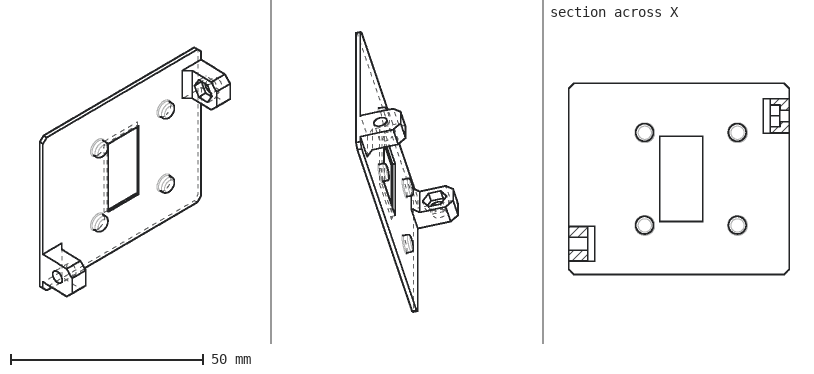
import cadquery as cq

plate_thickness = 1.2
plate_width = 57.2
plate_height = 49.6
plate_corner = 1.4

window_y = 0.6
window_width = 11.05
window_height = 22.0
window_chamfer = 0.5

lug_reach = 12.0
lug_height = 9.0
lug_thickness = 5.0
lug_corner = 2.0
lug_gusset = 1.85
lug_hole_diameter = 3.5
upper_lug_margin = 4.0
lower_lug_margin = 3.5
upper_lug_z = plate_height / 2 - upper_lug_margin - lug_height / 2
lower_lug_z = -plate_height / 2 + lower_lug_margin + lug_height / 2
upper_hole_x = 7.05
lower_hole_x = 6.6

nut_across_corners = 6.45
nut_depth = 2.5

peg_radius = 2.3
peg_height = 1.95
peg_base_fillet = 0.3
peg_top_fillet = 0.6
peg_spacing = 24.0
peg_centre_y = 3.1


def make_plate():
    plate = cq.Workplane("XY").box(
        plate_thickness, plate_width, plate_height, centered=(False, True, True)
    )
    return plate.edges("|X").chamfer(plate_corner)


def make_window():
    opening = (
        cq.Workplane("YZ")
        .center(window_y, 0)
        .rect(window_width, window_height)
        .extrude(plate_thickness)
    )
    rim = (
        cq.Workplane("YZ")
        .center(window_y, 0)
        .rect(window_width + 2 * window_chamfer, window_height + 2 * window_chamfer)
        .workplane(offset=window_chamfer)
        .rect(window_width, window_height)
        .loft(ruled=True)
    )
    return opening.union(rim)


def make_lug(side, centre_z, hole_x):
    """Lug at the +Y (side = 1) or -Y (side = -1) edge, with a gusset on its inner face."""
    outer_y = side * plate_width / 2
    inner_y = outer_y - side * lug_thickness
    gusset_y = inner_y - side * lug_gusset
    block = (
        cq.Workplane("XY", origin=(0, 0, centre_z - lug_height / 2))
        .moveTo(0, outer_y)
        .lineTo(lug_reach, outer_y)
        .lineTo(lug_reach, inner_y)
        .lineTo(plate_thickness + lug_gusset, inner_y)
        .lineTo(plate_thickness, gusset_y)
        .lineTo(0, gusset_y)
        .close()
        .extrude(lug_height)
        .edges("|Y and >X")
        .chamfer(lug_corner)
    )
    hole = (
        cq.Workplane("XZ", origin=(hole_x, outer_y, centre_z))
        .circle(lug_hole_diameter / 2)
        .extrude(side * lug_thickness)
    )
    return block.cut(hole)


def make_nut_pocket():
    inner_y = plate_width / 2 - lug_thickness
    return (
        cq.Workplane("XZ", origin=(upper_hole_x, inner_y, upper_lug_z))
        .polygon(6, nut_across_corners)
        .extrude(-nut_depth)
    )


def make_peg(y, z):
    """Peg profile revolved about its axis: flared foot, straight wall, rounded top."""
    foot_radius = peg_radius + peg_base_fillet
    top_radius = peg_radius - peg_top_fillet
    return (
        cq.Workplane("XY", origin=(plate_thickness, y, z))
        .lineTo(0, foot_radius)
        .radiusArc((peg_base_fillet, peg_radius), -peg_base_fillet)
        .lineTo(peg_height - peg_top_fillet, peg_radius)
        .radiusArc((peg_height, top_radius), peg_top_fillet)
        .lineTo(peg_height, 0)
        .close()
        .revolve(360, (0, 0, 0), (1, 0, 0))
    )


result = make_plate().cut(make_window())
result = result.union(make_lug(1, upper_lug_z, upper_hole_x))
result = result.union(make_lug(-1, lower_lug_z, lower_hole_x))
result = result.cut(make_nut_pocket())

for y_side in (-1, 1):
    for z_side in (-1, 1):
        peg_y = peg_centre_y + y_side * peg_spacing / 2
        peg_z = z_side * peg_spacing / 2
        result = result.union(make_peg(peg_y, peg_z))